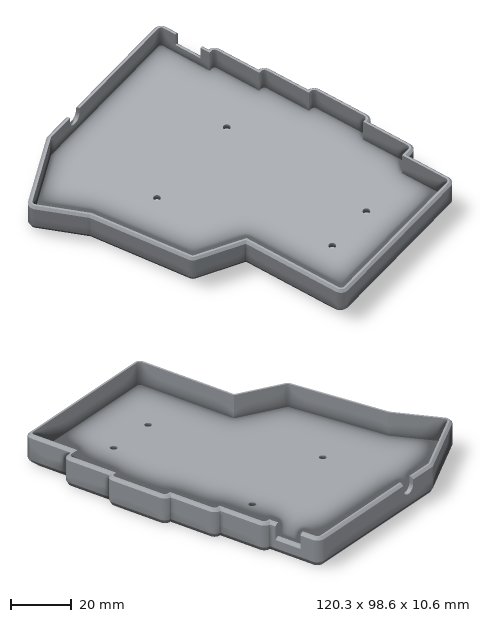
import cadquery as cq
import math

length = 120.3
width = 98.6
height = 10.6
floor_thickness = 1.9

outer_offset = 2.9
wall_thickness = 1.6
cavity_offset = outer_offset - wall_thickness

board_left = outer_offset
board_right = length - outer_offset
board_front = outer_offset
board_back = width - outer_offset

shoulder_y = 88.8
step_count = 3
step_rise = (board_back - shoulder_y) / step_count
first_column_x = 22.9
column_pitch = 18.5
peak_right = 79.2
upper_right = 98.4

left_corner_y = 29.2
palm_edge = (79.3, 31.4)
thumb_right = (69.5, 14.5)
thumb_bend = (31.9, 10.6)
thumb_tip_x = 14.5

rim_chamfer = 0.8
base_chamfer_width = 0.8
base_chamfer_height = 1.6
right_slope_width = 5.3

hole_diameter = 2.5
left_hole_x = 41.0
right_hole_x = 100.2
hole_places = [
    (left_hole_x, 72.9),
    (left_hole_x, 33.8),
    (right_hole_x, 69.4),
    (right_hole_x, 50.3),
]

cable_notch_y = 42.2
cable_notch_width = 5.4
cable_notch_depth = 5.0

connector_left = 7.7
connector_width = 10.1
connector_depth = 5.0


def board_outline():
    """Corner points of the board, clockwise from the lower end of the left side."""
    points = [(board_left, left_corner_y), (board_left, shoulder_y)]
    for step in range(step_count):
        x = first_column_x + step * column_pitch
        points.append((x, shoulder_y + step * step_rise))
        points.append((x, shoulder_y + (step + 1) * step_rise))
    points += [
        (peak_right, board_back),
        (peak_right, board_back - step_rise),
        (upper_right, board_back - step_rise),
        (upper_right, shoulder_y),
        (board_right, shoulder_y),
        (board_right, palm_edge[1]),
        palm_edge,
        thumb_right,
        thumb_bend,
        (thumb_tip_x, board_front),
    ]
    return points


def grown_board(offset, bottom, top, taper=0):
    """Prism of the board outline grown by an offset, with rounded outside corners."""
    outline = cq.Workplane("XY", origin=(0, 0, bottom)).polyline(board_outline()).close()
    return outline.offset2D(offset, "arc").extrude(top - bottom, taper=taper)


def case_block():
    """Solid case with a chamfered rim and a steeper chamfer around the underside."""
    walls = grown_board(outer_offset, base_chamfer_height, height)
    walls = walls.faces(">Z").edges().chamfer(rim_chamfer)
    widening = -math.degrees(math.atan2(base_chamfer_width, base_chamfer_height))
    base = grown_board(outer_offset - base_chamfer_width, 0, base_chamfer_height, widening)
    return walls.union(base)


def right_slope():
    """Wedge that turns the underside chamfer of the right side into a long slope."""
    triangle = [(length - right_slope_width, 0), (length, base_chamfer_height), (length, 0)]
    return cq.Workplane("XZ").polyline(triangle).close().extrude(-width)


def screw_holes():
    """Through holes in the floor."""
    return cq.Workplane("XY").pushPoints(hole_places).circle(hole_diameter / 2).extrude(height)


def cable_notch():
    """U-shaped cutter through the left wall."""
    radius = cable_notch_width / 2
    bottom = height - cable_notch_depth
    return (
        cq.Workplane("YZ")
        .moveTo(cable_notch_y - radius, height)
        .lineTo(cable_notch_y - radius, bottom + radius)
        .threePointArc((cable_notch_y, bottom), (cable_notch_y + radius, bottom + radius))
        .lineTo(cable_notch_y + radius, height)
        .close()
        .extrude(wall_thickness)
    )


def connector_notch():
    """Cutter through the back wall whose sill keeps the chamfer of the rim."""
    outside_y = shoulder_y + outer_offset
    inside_y = outside_y - wall_thickness
    sill = height - connector_depth
    profile = [
        (inside_y, height),
        (inside_y, sill),
        (outside_y - rim_chamfer, sill),
        (outside_y, sill - rim_chamfer),
        (outside_y, height),
    ]
    plane = cq.Workplane("YZ", origin=(connector_left, 0, 0))
    return plane.polyline(profile).close().extrude(connector_width)


result = (
    case_block()
    .cut(right_slope())
    .cut(grown_board(cavity_offset, floor_thickness, height))
    .cut(screw_holes())
    .cut(cable_notch())
    .cut(connector_notch())
)